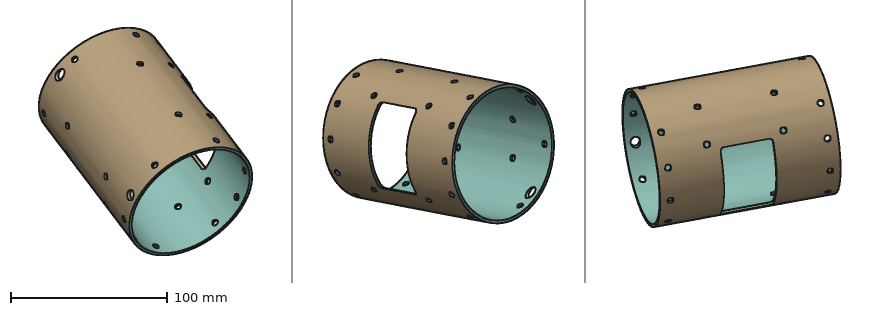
import cadquery as cq

length = 120.0
outer_diameter = 90.0
inner_diameter = 86.0
outer_radius = outer_diameter / 2

screw_hole_diameter = 4.1
end_hole_inset = 7.0
end_hole_x = length / 2 - end_hole_inset
end_hole_angles = [0, 60, 120, 150, 180, 210, 240, 300]

pair_hole_x = 25.5
pair_half_angle = 16.9
pair_center_angles = [0, 120, 240]

cross_hole_diameter = 6.4
left_cross_hole_z = 30.0
right_cross_hole_z = 19.9

window_width = 35.0
window_height = 56.0
window_corner_radius = 2.5


def wall_drill(diameter, x, z=0):
    """Cylinder parallel to Y that crosses only the -Y half of the tube."""
    return (
        cq.Workplane("XZ")
        .center(x, z)
        .circle(diameter / 2)
        .extrude(outer_diameter)
    )


def radial_drill(x, angle):
    """Screw hole cutter turned about the tube axis."""
    return wall_drill(screw_hole_diameter, x).rotate((0, 0, 0), (1, 0, 0), -angle)


tube = (
    cq.Workplane("YZ")
    .circle(outer_radius)
    .circle(inner_diameter / 2)
    .extrude(length / 2, both=True)
)

for x in (-end_hole_x, end_hole_x):
    for angle in end_hole_angles:
        tube = tube.cut(radial_drill(x, angle))

for x in (-pair_hole_x, pair_hole_x):
    for center_angle in pair_center_angles:
        for offset in (-pair_half_angle, pair_half_angle):
            tube = tube.cut(radial_drill(x, center_angle + offset))

for x, z in ((-end_hole_x, left_cross_hole_z), (end_hole_x, right_cross_hole_z)):
    for side in (-1, 1):
        tube = tube.cut(wall_drill(cross_hole_diameter, x, side * z))

window = (
    cq.Workplane("XZ")
    .rect(window_width, window_height)
    .extrude(-outer_diameter)
    .edges("|Y")
    .fillet(window_corner_radius)
)

result = tube.cut(window)